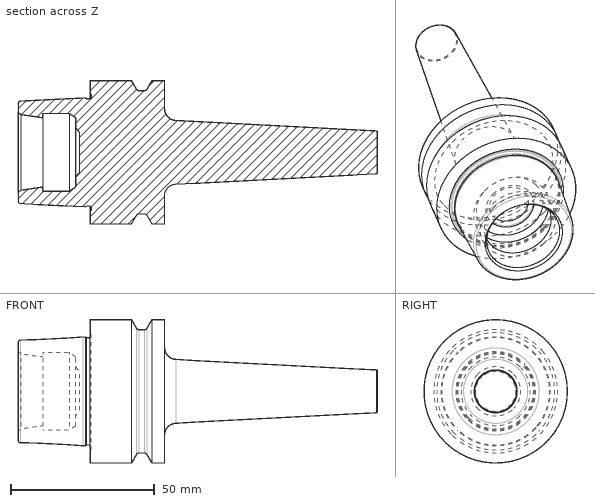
import cadquery as cq
import math

total_length = 124.9
flange_start = 25.0
flange_end = 51.0

taper_gauge_radius = 19.0
taper_end = 22.6
taper_slope = 1 / 20
nose_round = 0.7
relief_start = 23.5
relief_depth = 0.2

flange_radius = 25.0
groove_center = 43.0
groove_floor_width = 3.0
groove_floor_radius = 21.5
groove_flank_angle = 30.0
groove_corner_radius = 1.0
recess_mouth_radius = 20.5
recess_floor_radius = 19.9
recess_depth = 0.4
recess_corner_radius = 0.6

tip_radius = 7.5
tip_chamfer = 0.2
extension_angle = 3.0
extension_fillet = 4.0

bore_mouth_radius = 13.9
bore_lip_radius = 13.1
bore_lip_depth = 1.0
throat_radius = 12.0
throat_depth = 8.6
chamber_radius = 13.5
chamber_end = 17.9
bore_depth = 20.0
pocket_mouth_radius = 8.6
pocket_radius = 8.2
pocket_floor_radius = 7.0
pocket_step = 0.2
pocket_depth = 1.2


def taper_radius(x):
    return taper_gauge_radius - (taper_end - x) * taper_slope


def arc_middle_offset(radius):
    """Distance from the middle of a quarter arc to each of its end tangents."""
    return radius * (1 - math.sqrt(0.5))


def outer_profile():
    """Half section of the outside, from the taper end to the tip."""
    relief_radius = taper_gauge_radius - relief_depth
    recess_floor = flange_start + recess_depth

    half_floor = groove_floor_width / 2
    flank = (flange_radius - groove_floor_radius) * math.tan(math.radians(groove_flank_angle))

    steepness = math.radians(90 - groove_flank_angle)
    corner_tangent = groove_corner_radius * math.tan(steepness / 2)
    corner_along_flank = corner_tangent * math.cos(steepness)
    corner_rise = corner_tangent * math.sin(steepness)

    fillet_end = flange_end + extension_fillet
    extension_slope = math.tan(math.radians(extension_angle))
    fillet_end_radius = tip_radius + (total_length - fillet_end) * extension_slope
    fillet_offset = arc_middle_offset(extension_fillet)
    nose_radius = taper_radius(nose_round)
    nose_offset = arc_middle_offset(nose_round)

    return (
        cq.Workplane("XY")
        .moveTo(0, 0)
        .lineTo(0, nose_radius - nose_round)
        .threePointArc((nose_offset, nose_radius - nose_offset), (nose_round, nose_radius))
        .lineTo(taper_end, taper_gauge_radius)
        .lineTo(relief_start, taper_gauge_radius)
        .lineTo(relief_start + relief_depth, relief_radius)
        .lineTo(recess_floor - recess_corner_radius, relief_radius)
        .radiusArc((recess_floor, relief_radius + recess_corner_radius), -recess_corner_radius)
        .lineTo(recess_floor, recess_floor_radius)
        .radiusArc((flange_start, recess_mouth_radius), -recess_corner_radius)
        .lineTo(flange_start, flange_radius)
        .lineTo(groove_center - half_floor - flank, flange_radius)
        .lineTo(groove_center - half_floor - corner_along_flank, groove_floor_radius + corner_rise)
        .radiusArc((groove_center - half_floor + corner_tangent, groove_floor_radius), -groove_corner_radius)
        .lineTo(groove_center + half_floor - corner_tangent, groove_floor_radius)
        .radiusArc(
            (groove_center + half_floor + corner_along_flank, groove_floor_radius + corner_rise),
            -groove_corner_radius,
        )
        .lineTo(groove_center + half_floor + flank, flange_radius)
        .lineTo(flange_end, flange_radius)
        .lineTo(flange_end, fillet_end_radius + extension_fillet)
        .threePointArc(
            (flange_end + fillet_offset, fillet_end_radius + fillet_offset),
            (fillet_end, fillet_end_radius),
        )
        .lineTo(total_length - tip_chamfer, tip_radius + tip_chamfer * extension_slope)
        .lineTo(total_length, tip_radius - tip_chamfer)
        .lineTo(total_length, 0)
        .close()
    )


def bore_profile():
    """Half section of the stepped bore and the pocket in its floor."""
    return (
        cq.Workplane("XY")
        .moveTo(0, 0)
        .lineTo(0, bore_mouth_radius)
        .lineTo(bore_lip_depth, bore_lip_radius)
        .lineTo(throat_depth, throat_radius)
        .lineTo(throat_depth, chamber_radius)
        .lineTo(chamber_end, chamber_radius)
        .lineTo(bore_depth, throat_radius)
        .lineTo(bore_depth, pocket_mouth_radius)
        .lineTo(bore_depth + pocket_step, pocket_radius)
        .lineTo(bore_depth + pocket_depth, pocket_floor_radius)
        .lineTo(bore_depth + pocket_depth, 0)
        .close()
    )


def revolve(profile):
    return profile.revolve(360, (0, 0, 0), (1, 0, 0))


result = revolve(outer_profile()).cut(revolve(bore_profile()))